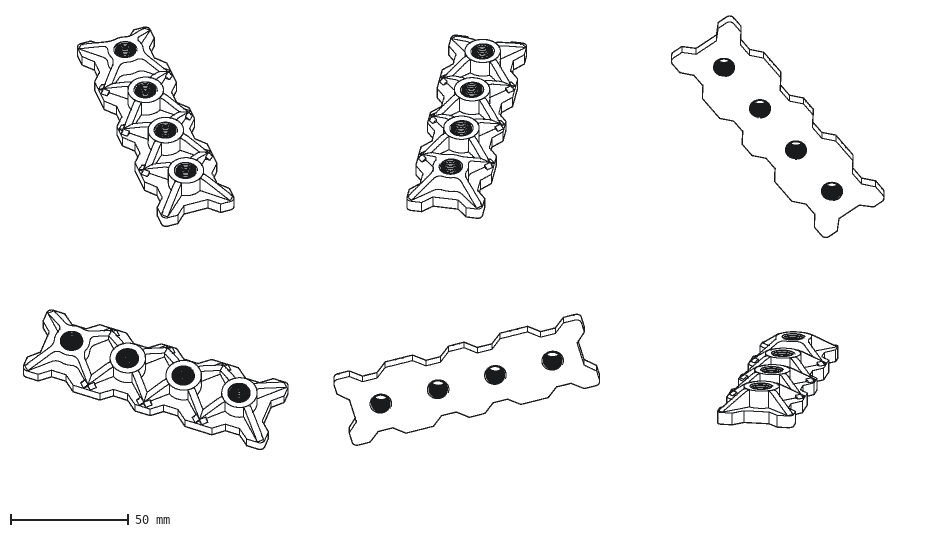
import cadquery as cq
import math

length = 109.7
width = 32.8
plate_height = 5.3
corner_radius = 2.2

side_notch_centers = (11.4, 39.5)
side_notch_mouth = 15.9
side_notch_floor = 6.5
side_notch_depth = 4.0
end_notch_mouth = 19.4
end_notch_floor = 10.9
end_notch_depth = 4.4

boss_count = 4
boss_end_distance = 16.8
boss_diameter = 15.1
total_height = 12.9

rib_width = 3.0
rib_crown_reach = 7.0
rib_slope_start = 10.0
rib_reach = 21.5
rib_slope_angle = 30.0
rib_angles = (45, 135)
web_fillet_radius = 4.0

thread_top_diameter = 10.0
thread_depth = 0.7
thread_pitch = 0.94
thread_taper = 1 / 16
thread_root_flat = 0.09
thread_flank_angle = 30.0
thread_exit_angle = 270.0
thread_run_out = 1.3
thread_overlap = 0.03

boss_pitch = (length - 2 * boss_end_distance) / (boss_count - 1)
boss_centers = [(i - (boss_count - 1) / 2) * boss_pitch for i in range(boss_count)]


def notch(mouth, floor, depth):
    """Notch opening toward +Y, with its mouth on the X axis."""
    points = [(-mouth / 2, 0), (mouth / 2, 0), (floor / 2, -depth), (-floor / 2, -depth)]
    return cq.Workplane("XY").polyline(points).close().extrude(plate_height)


def base_plate():
    plate = cq.Workplane("XY").box(length, width, plate_height, centered=(True, True, False))
    plate = plate.edges("|Z").fillet(corner_radius)
    side_notch = notch(side_notch_mouth, side_notch_floor, side_notch_depth).translate((0, width / 2, 0))
    end_notch = notch(end_notch_mouth, end_notch_floor, end_notch_depth).translate((0, length / 2, 0))
    for turn in (0, 180):
        for center in side_notch_centers:
            for x in (-center, center):
                plate = plate.cut(side_notch.rotate((0, 0, 0), (0, 0, 1), turn).translate((x, 0, 0)))
        plate = plate.cut(end_notch.rotate((0, 0, 0), (0, 0, 1), turn + 90))
    return plate


def rib_bar(bar_width, angle):
    """Bar through the boss axis: flat crown, rounded shoulders, then straight slopes to the plate."""
    slope = math.tan(math.radians(rib_slope_angle))
    slope_top = plate_height + (rib_reach - rib_slope_start) * slope
    half_bar = (
        cq.Workplane("XZ")
        .moveTo(0, 0)
        .lineTo(rib_reach, 0)
        .lineTo(rib_reach, plate_height)
        .lineTo(rib_slope_start, slope_top)
        .tangentArcPoint((rib_crown_reach, total_height), relative=False)
        .lineTo(0, total_height)
        .close()
        .extrude(bar_width / 2, both=True)
    )
    bar = half_bar.union(half_bar.rotate((0, 0, 0), (0, 0, 1), 180))
    return bar.rotate((0, 0, 0), (0, 0, 1), angle)


def plain_boss():
    return cq.Workplane("XY").circle(boss_diameter / 2).extrude(total_height)


def webbed_boss():
    """Boss blended into its ribs by upright fillets, topped by the crown and shoulders of the ribs."""
    center_distance = boss_diameter / 2 + web_fillet_radius
    center_offset = rib_width / 2 + web_fillet_radius
    web_reach = math.sqrt(center_distance**2 - center_offset**2)
    touch_scale = boss_diameter / 2 / center_distance
    touch_reach = web_reach * touch_scale
    touch_offset = center_offset * touch_scale
    body = plain_boss()
    for angle in rib_angles + tuple(a + 180 for a in rib_angles):
        web = (
            cq.Workplane("XY")
            .polyline(
                [
                    (0, 0),
                    (touch_reach, -touch_offset),
                    (web_reach, -center_offset),
                    (web_reach, center_offset),
                    (touch_reach, touch_offset),
                ]
            )
            .close()
            .extrude(total_height)
        )
        fillet_centers = [(web_reach, -center_offset), (web_reach, center_offset)]
        rounds = cq.Workplane("XY").pushPoints(fillet_centers).circle(web_fillet_radius).extrude(total_height)
        body = body.union(web.cut(rounds).rotate((0, 0, 0), (0, 0, 1), angle))
    for angle in rib_angles:
        body = body.intersect(rib_bar(2 * rib_reach, angle))
    return body


def thread_crest_radius(z):
    """Radius of the tapered core hole at height z."""
    return thread_top_diameter / 2 - thread_depth - (total_height - z) * thread_taper / 2


def core_hole():
    """Tapered core that passes beyond both faces."""
    bottom = -thread_run_out
    top = total_height + thread_run_out
    points = [(0, bottom), (thread_crest_radius(bottom), bottom), (thread_crest_radius(top), top), (0, top)]
    return cq.Workplane("XZ").polyline(points).close().revolve(360, (0, 0), (0, 1))


def thread_groove():
    """Helical groove along the tapered core, running out past both faces."""
    start_radius = thread_crest_radius(-thread_run_out)
    inner_radius = start_radius - thread_overlap
    root_radius = start_radius + thread_depth
    root_half = thread_root_flat / 2
    mouth_half = root_half + (root_radius - inner_radius) * math.tan(math.radians(thread_flank_angle))
    groove_points = [
        (inner_radius, -mouth_half),
        (root_radius, -root_half),
        (root_radius, root_half),
        (inner_radius, mouth_half),
    ]
    taper_angle = math.degrees(math.atan(thread_taper / 2))
    helix_height = total_height + 2 * thread_run_out
    helix = cq.Wire.makeHelix(thread_pitch, helix_height, start_radius, angle=taper_angle)
    groove = cq.Workplane("XZ").polyline(groove_points).close().sweep(helix, isFrenet=True)
    start_angle = thread_exit_angle - 360 * (total_height + thread_run_out) / thread_pitch
    return groove.rotate((0, 0, 0), (0, 0, 1), start_angle).translate((0, 0, -thread_run_out))


result = base_plate()
for i, x in enumerate(boss_centers):
    boss = webbed_boss() if i == 0 else plain_boss()
    for angle in rib_angles:
        boss = boss.union(rib_bar(rib_width, angle))
    result = result.union(boss.translate((x, 0, 0)))

groove = thread_groove()
core = core_hole()
for x in boss_centers:
    result = result.cut(groove.translate((x, 0, 0)), clean=False)
    result = result.cut(core.translate((x, 0, 0)), clean=False)